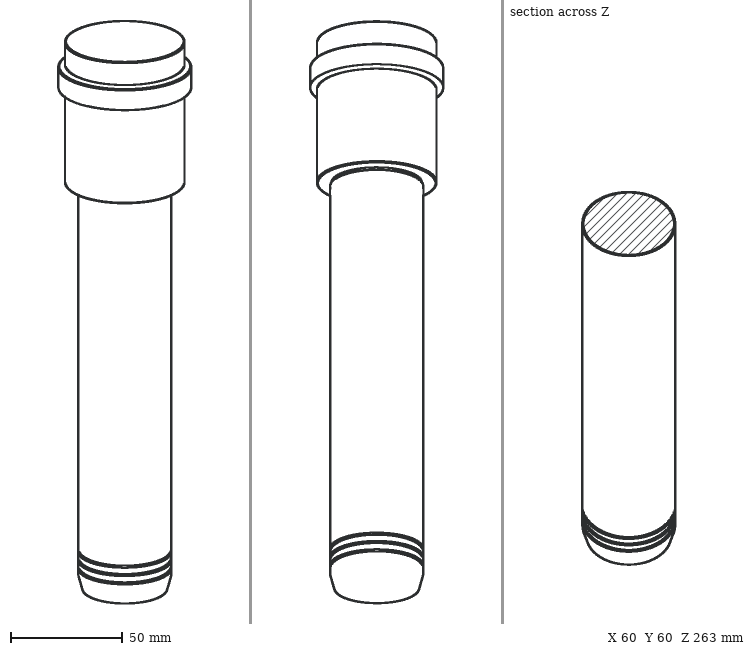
import cadquery as cq
import math

TOTAL_LENGTH = 263.0

HEAD_RADIUS = 54.0 / 2
HEAD_LENGTH = 68.0
FLANGE_RADIUS = 60.0 / 2
FLANGE_TOP_DEPTH = 12.0
FLANGE_THICKNESS = 10.0
EDGE_CHAMFER = 0.5

SHANK_RADIUS = 42.0 / 2
RELIEF_WIDTH = 1.3
RELIEF_DEPTH = 0.5
LEAD_IN_LENGTH = 7.0
LEAD_IN_ANGLE = 15.0
FOOT_FILLET = 0.5

GROOVE_WIDTH = 1.0
GROOVE_DEPTH = 0.5
GROOVE_CORNER = 0.48
SHANK_GROOVE_COUNT = 3
SHANK_GROOVE_PITCH = 4.0
LOWEST_GROOVE_ABOVE_LEAD_IN = 4.0

FLANGE_TOP_Z = -FLANGE_TOP_DEPTH
FLANGE_BOTTOM_Z = FLANGE_TOP_Z - FLANGE_THICKNESS
SHOULDER_Z = -HEAD_LENGTH
FOOT_Z = -TOTAL_LENGTH
LEAD_IN_Z = FOOT_Z + LEAD_IN_LENGTH
LOWEST_GROOVE_TOP_Z = LEAD_IN_Z + LOWEST_GROOVE_ABOVE_LEAD_IN
FOOT_RADIUS = SHANK_RADIUS - LEAD_IN_LENGTH * math.tan(math.radians(LEAD_IN_ANGLE))


def add_groove(profile, surface_radius, top_z):
    """Draw a line to the upper edge of a groove, then the groove with its two rounded corners."""
    floor_radius = surface_radius - GROOVE_DEPTH
    corner_radius = floor_radius + GROOVE_CORNER
    arc_inset = GROOVE_CORNER * (1 - math.sqrt(0.5))
    arc_radius = floor_radius + arc_inset
    bottom_z = top_z - GROOVE_WIDTH
    profile = profile.lineTo(surface_radius, top_z).lineTo(corner_radius, top_z)
    profile = profile.threePointArc((arc_radius, top_z - arc_inset), (floor_radius, top_z - GROOVE_CORNER))
    profile = profile.lineTo(floor_radius, bottom_z + GROOVE_CORNER)
    profile = profile.threePointArc((arc_radius, bottom_z + arc_inset), (corner_radius, bottom_z))
    return profile.lineTo(surface_radius, bottom_z)


def add_head(profile):
    """Draw the head from the axis at the top face down to its lower edge."""
    profile = profile.lineTo(HEAD_RADIUS - EDGE_CHAMFER, 0).lineTo(HEAD_RADIUS, -EDGE_CHAMFER)
    profile = add_groove(profile, HEAD_RADIUS, FLANGE_TOP_Z + GROOVE_WIDTH)
    profile = profile.lineTo(FLANGE_RADIUS - EDGE_CHAMFER, FLANGE_TOP_Z)
    profile = profile.lineTo(FLANGE_RADIUS, FLANGE_TOP_Z - EDGE_CHAMFER)
    profile = profile.lineTo(FLANGE_RADIUS, FLANGE_BOTTOM_Z)
    profile = add_groove(profile, HEAD_RADIUS, FLANGE_BOTTOM_Z)
    profile = profile.lineTo(HEAD_RADIUS, SHOULDER_Z + EDGE_CHAMFER)
    return profile.lineTo(HEAD_RADIUS - EDGE_CHAMFER, SHOULDER_Z)


def add_shank(profile):
    """Draw the shank from the shoulder down to the axis at the foot."""
    relief_radius = SHANK_RADIUS - RELIEF_DEPTH
    relief_end_z = SHOULDER_Z - RELIEF_WIDTH
    profile = profile.lineTo(relief_radius, SHOULDER_Z).lineTo(relief_radius, relief_end_z)
    profile = profile.lineTo(SHANK_RADIUS, relief_end_z)
    for index in reversed(range(SHANK_GROOVE_COUNT)):
        groove_top_z = LOWEST_GROOVE_TOP_Z + index * SHANK_GROOVE_PITCH
        profile = add_groove(profile, SHANK_RADIUS, groove_top_z)
    profile = profile.lineTo(SHANK_RADIUS, LEAD_IN_Z).lineTo(FOOT_RADIUS, FOOT_Z)
    return profile.lineTo(0, FOOT_Z)


def make_pillar():
    profile = add_shank(add_head(cq.Workplane("XZ").moveTo(0, 0))).close()
    pillar = profile.revolve(360, (0, 0, 0), (0, 1, 0))
    return pillar.faces("<Z").edges().fillet(FOOT_FILLET)


result = make_pillar()